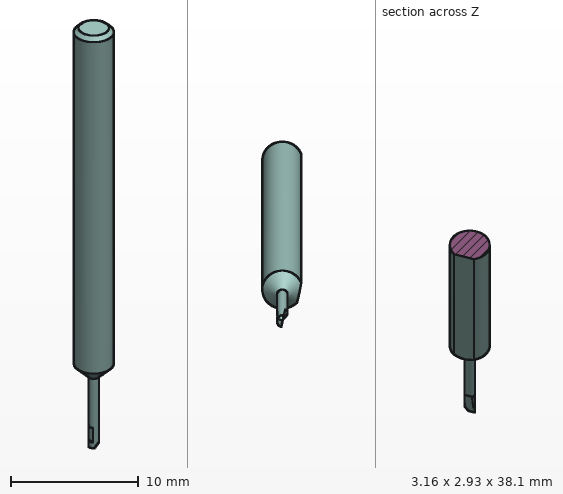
import cadquery as cq

total_length = 38.1
shank_radius = 1.58
flat_y = 1.353
top_chamfer = 0.4

neck_radius = 0.42
neck_top_z = 6.4
cone_top_z = neck_top_z + shank_radius - neck_radius

rake_start_z = 2.2
rake_step_z = 1.9
rake_step_y = 0.15
rake_tip_y = 0.0

end_clearance_rise = 0.08
corner_x = 0.1
corner_z = 0.45
facet_bottom_z = 0.6
facet_rake_x = -0.23
facet_side_y = -0.08
heel_flat_x = 0.08

overcut = 0.75


def make_blank():
    """Turned profile of shank, cone and neck."""
    profile = (
        cq.Workplane("XZ")
        .moveTo(0, 0)
        .lineTo(neck_radius, 0)
        .lineTo(neck_radius, neck_top_z)
        .lineTo(shank_radius, cone_top_z)
        .lineTo(shank_radius, total_length - top_chamfer)
        .lineTo(shank_radius - top_chamfer, total_length)
        .lineTo(0, total_length)
        .close()
    )
    return profile.revolve(360, (0, 0, 0), (0, 1, 0))


def shank_flat_cutter():
    """Block that leaves the flat along the shank."""
    side = 2 * shank_radius
    block = cq.Workplane("XY").box(side, side, total_length, centered=(True, False, False))
    return block.translate((0, flat_y, 0))


def rake_cutter():
    """Wedge that clears the +Y side of the tip."""
    outer_y = neck_radius + overcut
    return (
        cq.Workplane("YZ")
        .moveTo(outer_y, 0)
        .lineTo(rake_tip_y, 0)
        .lineTo(rake_step_y, rake_step_z)
        .lineTo(neck_radius, rake_start_z)
        .lineTo(outer_y, rake_start_z)
        .close()
        .extrude(neck_radius + overcut, both=True)
    )


def end_clearance_cutter():
    """Wedge that slopes the end face upward toward -Y."""
    return (
        cq.Workplane("YZ")
        .moveTo(rake_tip_y, 0)
        .lineTo(-neck_radius, end_clearance_rise)
        .lineTo(-neck_radius, 0)
        .close()
        .extrude(neck_radius + overcut, both=True)
    )


def corner_cutter():
    """Triangle that bevels the lower +X corner."""
    return (
        cq.Workplane("XZ")
        .moveTo(corner_x, 0)
        .lineTo(neck_radius, corner_z)
        .lineTo(neck_radius, 0)
        .close()
        .extrude(neck_radius + overcut, both=True)
    )


def side_facet_cutter():
    """Prism that relieves the rake edge above the cutting tooth on -X."""
    slope = (rake_step_y - facet_side_y) / (facet_rake_x + neck_radius)
    outer_y = rake_step_y + slope * overcut
    return (
        cq.Workplane("XY", origin=(0, 0, facet_bottom_z))
        .moveTo(-neck_radius, facet_side_y)
        .lineTo(facet_rake_x + overcut, outer_y)
        .lineTo(-neck_radius, outer_y)
        .close()
        .extrude(rake_step_z - facet_bottom_z)
    )


def heel_flat_cutter():
    """Prism that flattens the -X, -Y quadrant of the tip above the cutting tooth."""
    return (
        cq.Workplane("XY", origin=(0, 0, facet_bottom_z))
        .moveTo(-neck_radius, facet_side_y)
        .lineTo(heel_flat_x, -neck_radius)
        .lineTo(-neck_radius, -neck_radius)
        .close()
        .extrude(rake_step_z - facet_bottom_z)
    )


result = make_blank()
for cutter in (
    shank_flat_cutter(),
    rake_cutter(),
    end_clearance_cutter(),
    corner_cutter(),
    side_facet_cutter(),
    heel_flat_cutter(),
):
    result = result.cut(cutter)